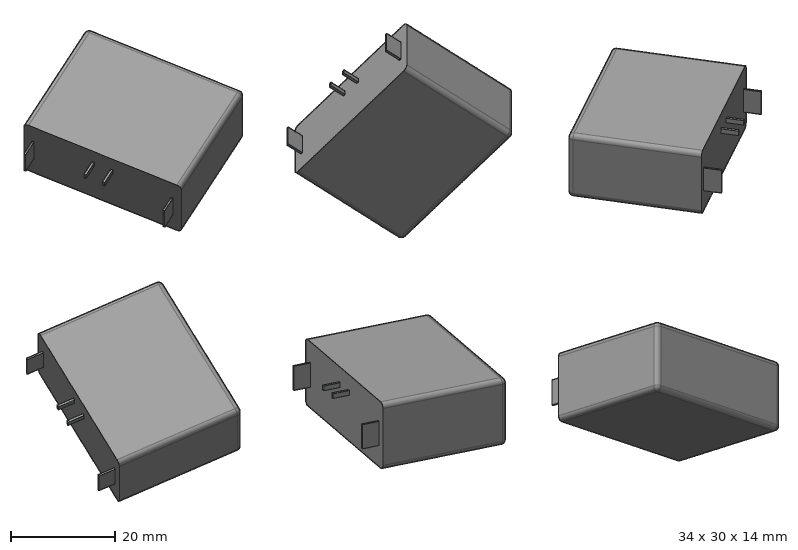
import cadquery as cq

body_width = 34.0
body_depth = 26.5
body_height = 14.0
edge_radius = 1.0

pin_length = 3.5

blade_thickness = 0.4
blade_height = 5.1
blade_spacing = 30.0

small_pin_width = 0.5
small_pin_height = 1.0
small_pin_spacing = 4.0
small_pin_z = 3.25


def make_body():
    """Block rounded on every edge except those around the pin face."""
    block = cq.Workplane("XY").box(body_width, body_depth, body_height, centered=(True, False, True))
    return block.edges("|Y or >Y").fillet(edge_radius)


def make_pin_pair(width, height, spacing, z):
    """Two rectangular pins placed symmetrically about X = 0."""
    centers = [(side * spacing / 2, z) for side in (-1, 1)]
    return cq.Workplane("XZ").pushPoints(centers).rect(width, height).extrude(pin_length)


blades = make_pin_pair(blade_thickness, blade_height, blade_spacing, 0)
small_pins = make_pin_pair(small_pin_width, small_pin_height, small_pin_spacing, small_pin_z)

result = make_body().union(blades).union(small_pins)